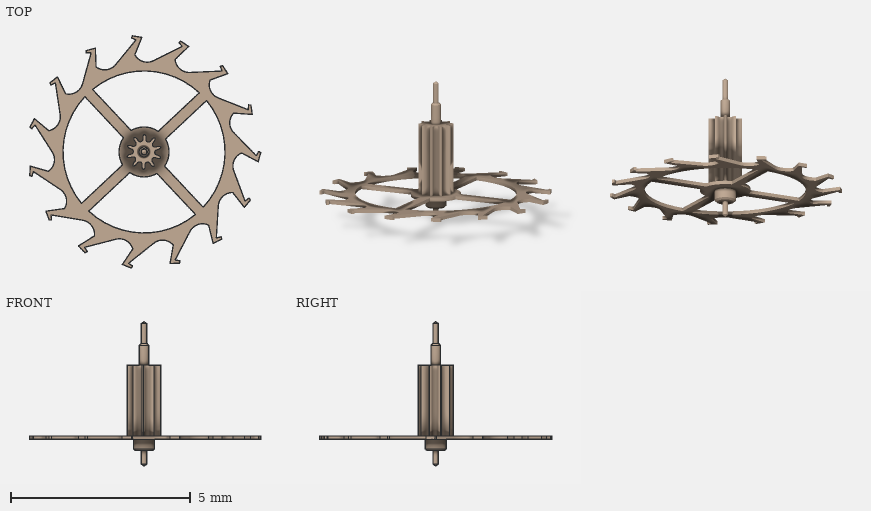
import cadquery as cq
import math


ASSEMBLY_TURN = -1.8

WHEEL_THICKNESS = 0.1
RIM_INNER_RADIUS = 2.25
HUB_RADIUS = 0.7
SPOKE_COUNT = 4
SPOKE_WIDTH = 0.3
SPOKE_RIM_OVERLAP = 0.065
FIRST_SPOKE_ANGLE = 45 + ASSEMBLY_TURN

TOOTH_COUNT = 15
TOOTH_PITCH = 360 / TOOTH_COUNT
FIRST_TOOTH_ANGLE = 20.0
LOCKING_FACE_OFFSET = 1.25
LOCKING_FACE_ROOT = 2.41
TOOTH_TIP = 2.93
HOOK_INNER = 2.805
HOOK_END_OUTER = 2.875
HOOK_END_OFFSET = 1.51
HOOK_CORNER_OFFSET = 1.375
TOOTH_BACK_LENGTH = 0.89
TOOTH_BACK_ANGLE = 17.5

LEAF_COUNT = 10
LEAF_PITCH = 360 / LEAF_COUNT
FIRST_LEAF_ANGLE = 90 + ASSEMBLY_TURN
LEAF_TIP_RADIUS = 0.49
LEAF_SHOULDER_RADIUS = 0.41
LEAF_HALF_WIDTH = 0.042
LEAF_ROOT_RADIUS = 0.3
PINION_TOP = 2.07

PIVOT_RADIUS = 0.08
PIVOT_POINT_HEIGHT = 0.06
UPPER_ARBOR_RADIUS = 0.135
UPPER_ARBOR_TOP = 2.66
UPPER_ARBOR_CHAMFER = 0.045
COLLAR_RADIUS = 0.3
COLLAR_BOTTOM = -0.31
COLLAR_CHAMFER = 0.05
ARBOR_TOP = 3.275
ARBOR_LENGTH = 4.02
ARBOR_BOTTOM = ARBOR_TOP - ARBOR_LENGTH


def turned(point, angle):
    """Return a point turned about the arbor by an angle in degrees."""
    x, y = point
    c = math.cos(math.radians(angle))
    s = math.sin(math.radians(angle))
    return (x * c - y * s, x * s + y * c)


def make_wheel_blank():
    """Toothed disc: hooked teeth joined by round gullets."""
    back = math.radians(TOOTH_BACK_ANGLE)
    face_root = (LOCKING_FACE_ROOT, LOCKING_FACE_OFFSET)
    tip = (TOOTH_TIP, LOCKING_FACE_OFFSET)
    hook_end_outer = (HOOK_END_OUTER, HOOK_END_OFFSET)
    hook_end_inner = (HOOK_INNER, HOOK_END_OFFSET)
    hook_corner = (HOOK_INNER, HOOK_CORNER_OFFSET)
    back_end = (
        HOOK_INNER - TOOTH_BACK_LENGTH * math.cos(back),
        HOOK_CORNER_OFFSET + TOOTH_BACK_LENGTH * math.sin(back),
    )
    straight_points = (tip, hook_end_outer, hook_end_inner, hook_corner, back_end)

    outline = cq.Workplane("XY").moveTo(*turned(face_root, FIRST_TOOTH_ANGLE))
    for i in range(TOOTH_COUNT):
        angle = FIRST_TOOTH_ANGLE + i * TOOTH_PITCH
        for point in straight_points:
            outline = outline.lineTo(*turned(point, angle))
        next_root = turned(face_root, angle + TOOTH_PITCH)
        outline = outline.tangentArcPoint(next_root, relative=False)
    return outline.close().extrude(WHEEL_THICKNESS)


def make_hub_and_spokes():
    """Central disc with spokes that reach into the rim."""
    spider = cq.Workplane("XY").circle(HUB_RADIUS).extrude(WHEEL_THICKNESS)
    spoke_length = RIM_INNER_RADIUS + SPOKE_RIM_OVERLAP
    for i in range(SPOKE_COUNT):
        spoke = (
            cq.Workplane("XY")
            .box(spoke_length, SPOKE_WIDTH, WHEEL_THICKNESS, centered=(False, True, False))
            .rotate((0, 0, 0), (0, 0, 1), FIRST_SPOKE_ANGLE + i * 360 / SPOKE_COUNT)
        )
        spider = spider.union(spoke)
    return spider


def make_wheel():
    """Toothed rim carried by the hub and spokes."""
    opening = cq.Workplane("XY").circle(RIM_INNER_RADIUS).extrude(WHEEL_THICKNESS)
    return make_wheel_blank().cut(opening).union(make_hub_and_spokes())


def make_pinion():
    """Leaves with parallel flanks and pointed tips, joined by round roots."""
    half_pitch = LEAF_PITCH / 2
    half_pitch_sin = math.sin(math.radians(half_pitch))
    root_arc_radius = (LEAF_ROOT_RADIUS * half_pitch_sin - LEAF_HALF_WIDTH) / (1 - half_pitch_sin)
    flank_start = (LEAF_ROOT_RADIUS + root_arc_radius) * math.cos(math.radians(half_pitch))

    right_start = (flank_start, -LEAF_HALF_WIDTH)
    right_shoulder = (LEAF_SHOULDER_RADIUS, -LEAF_HALF_WIDTH)
    leaf_tip = (LEAF_TIP_RADIUS, 0)
    left_shoulder = (LEAF_SHOULDER_RADIUS, LEAF_HALF_WIDTH)
    left_start = (flank_start, LEAF_HALF_WIDTH)
    root_bottom = (LEAF_ROOT_RADIUS, 0)

    tip_height = LEAF_TIP_RADIUS - LEAF_SHOULDER_RADIUS
    tip_arc_radius = (LEAF_HALF_WIDTH**2 + tip_height**2) / (2 * LEAF_HALF_WIDTH)

    outline = cq.Workplane("XY").moveTo(*turned(right_start, FIRST_LEAF_ANGLE))
    for i in range(LEAF_COUNT):
        angle = FIRST_LEAF_ANGLE + i * LEAF_PITCH
        outline = (
            outline.lineTo(*turned(right_shoulder, angle))
            .radiusArc(turned(leaf_tip, angle), -tip_arc_radius)
            .radiusArc(turned(left_shoulder, angle), -tip_arc_radius)
            .lineTo(*turned(left_start, angle))
            .threePointArc(
                turned(root_bottom, angle + half_pitch),
                turned(right_start, angle + LEAF_PITCH),
            )
        )
    return outline.close().extrude(PINION_TOP)


def make_arbor():
    """Turned shaft: pointed pivots, upper arbor and collar under the wheel."""
    profile = [
        (0, ARBOR_BOTTOM),
        (PIVOT_RADIUS, ARBOR_BOTTOM + PIVOT_POINT_HEIGHT),
        (PIVOT_RADIUS, COLLAR_BOTTOM),
        (COLLAR_RADIUS - COLLAR_CHAMFER, COLLAR_BOTTOM),
        (COLLAR_RADIUS, COLLAR_BOTTOM + COLLAR_CHAMFER),
        (COLLAR_RADIUS, 0),
        (UPPER_ARBOR_RADIUS, 0),
        (UPPER_ARBOR_RADIUS, UPPER_ARBOR_TOP - UPPER_ARBOR_CHAMFER),
        (UPPER_ARBOR_RADIUS - UPPER_ARBOR_CHAMFER, UPPER_ARBOR_TOP),
        (PIVOT_RADIUS, UPPER_ARBOR_TOP),
        (PIVOT_RADIUS, ARBOR_TOP - PIVOT_POINT_HEIGHT),
        (0, ARBOR_TOP),
    ]
    return cq.Workplane("XZ").polyline(profile).close().revolve(360, (0, 0, 0), (0, 1, 0))


result = make_wheel().union(make_pinion()).union(make_arbor())